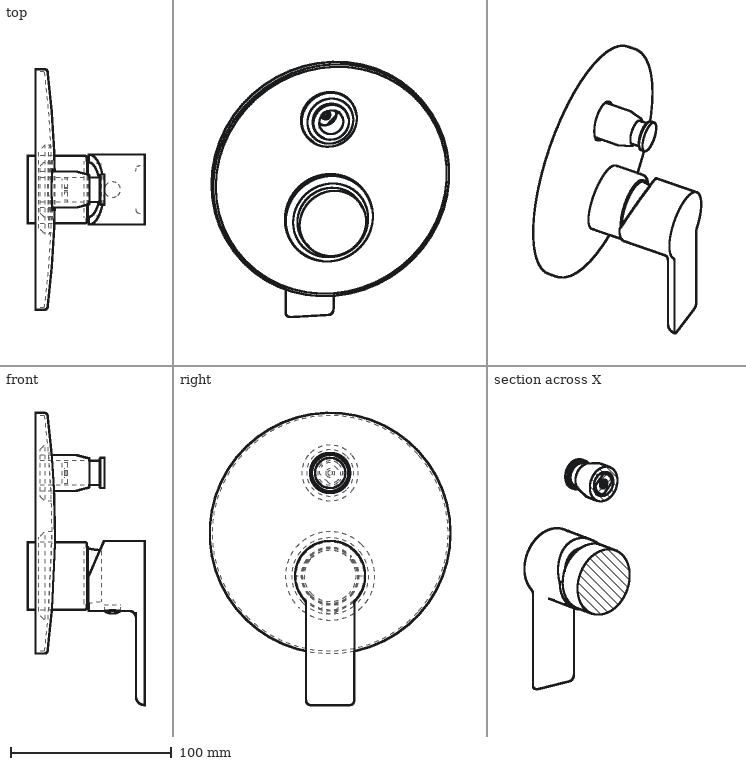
import cadquery as cq
import math


plate_radius = 75.0
plate_peak = 12.2
plate_rim_depth = 7.6
plate_edge_radius = 2.2
plate_wall = 2.0
rim_wall = 1.6
inner_corner_radius = 0.7

mixer_z = -26.5
diverter_z = 37.5

housing_radius = 21.1
housing_back = -5.0
housing_front = 32.0
housing_edge_radius = 1.5
cover_base = 30.2
cover_end = 41.0
cover_base_radius = 17.5
cover_end_radius = 16.0
cover_flange_radius = 18.0
cover_flange_thickness = 0.5

sleeve_radius = 11.3
sleeve_back = 0.0
sleeve_taper_start = 25.3
sleeve_front = 33.5
sleeve_front_radius = 9.1
sleeve_edge_radius = 0.5
stem_radius = 7.6
stem_back = 20.0
tip_back = 16.4
tip_radius = 6.5
tip_across_flats = 10.0
tip_flat_angle = -45
tip_hole_radius = 2.7
tip_hole_depth = 1.8
pilot_radius = 1.5
pilot_depth = 3.6
collar_start = 39.9
collar_end = 43.0
collar_radius = 9.5
collar_chamfer = 0.7

seal_cone_end = 5.8
mixer_seal_radius = 27.7
mixer_seal_face_radius = 23.8
mixer_seal_face = 2.0
diverter_seal_radius = 17.5
diverter_seal_face_radius = 14.5
diverter_seal_face = 2.7
diverter_hole_radius = 12.5

handle_radius = 21.8
handle_back = 33.1
handle_front = 68.0
handle_bevel_top = 42.5
lever_thickness = 5.6
lever_width = 30.0
lever_bottom = -107.0
lever_end_radius = 5.5
lever_side_radius = 3.0
lever_root_radius = 4.2
selection_margin = 0.2

plug_x = 47.9
plug_radius = 5.0
plug_depth = 3.6
plug_crown = 1.6


def turned(profile, axis_z):
    """Solid of revolution about the axis at height axis_z of a profile in (X, radius)."""
    return profile.close().revolve(360, (0, 0, 0), (1, 0, 0)).translate((0, 0, axis_z))


def rod(radius, start, end, axis_z):
    """Cylinder along X from start to end."""
    return cq.Workplane("YZ", origin=(start, 0, axis_z)).circle(radius).extrude(end - start)


def cone(start_radius, start, end_radius, end, axis_z):
    """Truncated cone along X."""
    profile = cq.Workplane("XY").moveTo(start, 0).lineTo(start, start_radius)
    return turned(profile.lineTo(end, end_radius).lineTo(end, 0), axis_z)


def dome_midpoint(edge_radius, rise):
    """Radius halfway out on a spherical dome, and how far the dome has dropped there."""
    sphere_radius = (edge_radius**2 + rise**2) / (2 * rise)
    middle_radius = edge_radius / 2
    return middle_radius, sphere_radius - math.sqrt(sphere_radius**2 - middle_radius**2)


def domed_disc(radius, rim_depth, peak, corner_radius):
    """Solid disc with a flat back, a rounded edge and a domed front."""
    edge_radius = radius - corner_radius
    middle_radius, middle_drop = dome_midpoint(edge_radius, peak - rim_depth)
    diagonal = corner_radius * math.sqrt(0.5)
    corner_x = rim_depth - corner_radius
    profile = (
        cq.Workplane("XY")
        .lineTo(0, radius)
        .lineTo(corner_x, radius)
        .threePointArc((corner_x + diagonal, edge_radius + diagonal), (rim_depth, edge_radius))
        .threePointArc((peak - middle_drop, middle_radius), (peak, 0))
    )
    return turned(profile, 0)


plate_cavity = domed_disc(
    plate_radius - rim_wall, plate_rim_depth - plate_wall, plate_peak - plate_wall, inner_corner_radius
)


def make_plate():
    plate = domed_disc(plate_radius, plate_rim_depth, plate_peak, plate_edge_radius).cut(plate_cavity)
    plate = plate.cut(rod(housing_radius, 0, plate_peak, mixer_z))
    return plate.cut(rod(diverter_hole_radius, 0, plate_peak, diverter_z))


def make_seal(radius, face_radius, face, bore_radius, axis_z):
    """Ring with a tapered back whose front lies against the inside of the plate."""
    ring = cone(face_radius, face, radius, seal_cone_end, axis_z)
    ring = ring.union(rod(radius, seal_cone_end, plate_peak, axis_z))
    return ring.cut(rod(bore_radius, 0, plate_peak, axis_z)).intersect(plate_cavity)


def make_cartridge_cover():
    """Tapered cover seated in the housing, with a thin flange on the housing's front face."""
    cover = cone(cover_base_radius, cover_base, cover_end_radius, cover_end, mixer_z)
    flange_front = housing_front + cover_flange_thickness
    return cover.union(rod(cover_flange_radius, housing_front, flange_front, mixer_z))


def make_housing():
    housing = rod(housing_radius, housing_back, housing_front, mixer_z)
    housing = housing.faces(">X").edges().fillet(housing_edge_radius)
    return housing.cut(make_cartridge_cover())


def make_diverter_sleeve():
    sleeve = rod(sleeve_radius, sleeve_back, sleeve_taper_start, diverter_z)
    sleeve = sleeve.union(
        cone(sleeve_radius, sleeve_taper_start, sleeve_front_radius, sleeve_front, diverter_z)
    )
    sleeve = sleeve.faces(">X").edges().fillet(sleeve_edge_radius)
    return sleeve.cut(rod(stem_radius, sleeve_back, sleeve_front, diverter_z))


def make_diverter_knob():
    tip = rod(tip_radius, tip_back, stem_back, diverter_z)
    flats = cq.Workplane("YZ", origin=(tip_back, 0, diverter_z)).transformed(rotate=(0, 0, tip_flat_angle))
    tip = tip.intersect(flats.rect(2 * tip_radius, tip_across_flats).extrude(stem_back - tip_back))
    collar = rod(collar_radius, collar_start, collar_end, diverter_z)
    collar = collar.faces("<X").edges().chamfer(collar_chamfer)
    knob = rod(stem_radius, stem_back, collar_start, diverter_z).union(collar).union(tip)
    knob = knob.cut(rod(tip_hole_radius, tip_back, tip_back + tip_hole_depth, diverter_z))
    return knob.cut(rod(pilot_radius, tip_back, tip_back + pilot_depth, diverter_z))


def make_plug():
    """Round plug with a crowned outer end, pointing down."""
    crown_base = mixer_z - handle_radius
    plug_top = crown_base + plug_depth
    crown_tip = crown_base - plug_crown
    middle_radius, middle_drop = dome_midpoint(plug_radius, plug_crown)
    profile = (
        cq.Workplane("XZ", origin=(plug_x, 0, 0))
        .moveTo(0, plug_top)
        .lineTo(plug_radius, plug_top)
        .lineTo(plug_radius, crown_base)
        .threePointArc((middle_radius, crown_tip + middle_drop), (0, crown_tip))
        .close()
    )
    return profile.revolve(360, (0, 0, 0), (0, 1, 0))


def make_lever():
    lever_back = handle_front - lever_thickness
    lever = cq.Workplane("XY").box(
        lever_thickness, lever_width, mixer_z - lever_bottom, centered=(False, True, False)
    )
    lever = lever.translate((lever_back, 0, lever_bottom))
    lever = lever.faces("<X").edges("<Z").fillet(lever_end_radius)
    return lever.faces("<X").edges("|Z").fillet(lever_side_radius)


def make_handle():
    body = rod(handle_radius, handle_back, handle_front, mixer_z)
    handle = body.union(make_lever())
    root_zone = cq.selectors.BoxSelector(
        (
            handle_front - lever_thickness - selection_margin,
            -lever_width,
            mixer_z - handle_radius - selection_margin,
        ),
        (handle_front - selection_margin, lever_width, mixer_z - selection_margin),
    )
    handle = handle.edges(root_zone).fillet(lever_root_radius)
    bevel = (
        cq.Workplane("XZ", origin=(0, 0, mixer_z))
        .moveTo(handle_back, 0)
        .lineTo(handle_bevel_top, handle_radius)
        .lineTo(handle_back, handle_radius)
        .close()
        .extrude(handle_radius, both=True)
    )
    return handle.cut(bevel).cut(make_cartridge_cover()).cut(make_plug())


plate = make_plate()
mixer_seal = make_seal(
    mixer_seal_radius, mixer_seal_face_radius, mixer_seal_face, housing_radius, mixer_z
)
diverter_seal = make_seal(
    diverter_seal_radius, diverter_seal_face_radius, diverter_seal_face, sleeve_radius, diverter_z
)
housing = make_housing()
cartridge_cover = make_cartridge_cover()
diverter_sleeve = make_diverter_sleeve()
diverter_knob = make_diverter_knob()
handle = make_handle()
plug = make_plug()

result = cq.Compound.makeCompound(
    [
        plate.val(),
        mixer_seal.val(),
        diverter_seal.val(),
        housing.val(),
        cartridge_cover.val(),
        diverter_sleeve.val(),
        diverter_knob.val(),
        handle.val(),
        plug.val(),
    ]
)